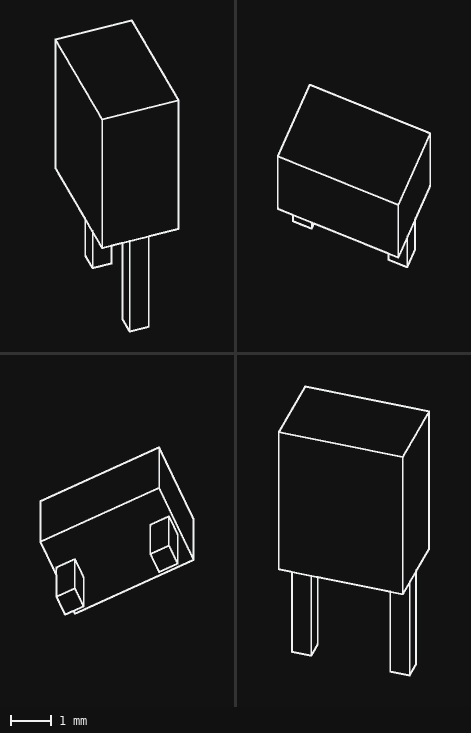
import cadquery as cq

total_height = 7.15
housing_width = 3.2
housing_depth = 2.0
lead_length = 2.995
lead_thickness = 0.5
lead_pitch = 2.54

housing_height = total_height - lead_length


def make_housing():
    """Plain rectangular block standing on the plane Z = 0."""
    return cq.Workplane("XY").box(
        housing_width, housing_depth, housing_height, centered=(True, True, False)
    )


def make_lead(x_position):
    """Square lead hanging from the underside of the housing."""
    return (
        cq.Workplane("XY")
        .center(x_position, 0)
        .rect(lead_thickness, lead_thickness)
        .extrude(-lead_length)
    )


housing = make_housing()
leads = [make_lead(side * lead_pitch / 2) for side in (-1, 1)]

result = cq.Compound.makeCompound([housing.val(), *[lead.val() for lead in leads]])